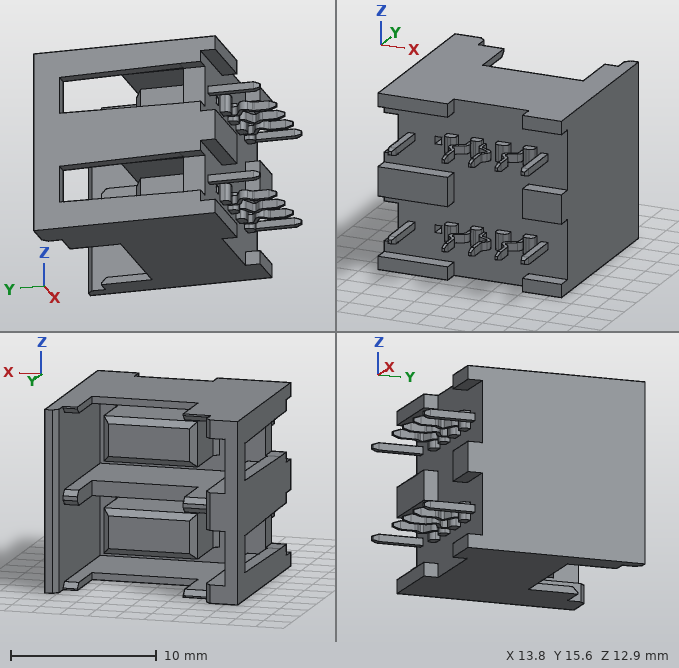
import cadquery as cq


WIDTH = 13.8
DEPTH = 13.0
HEIGHT = 12.9
ROW_PITCH = 6.48
ROW_ZS = [HEIGHT / 2 - ROW_PITCH / 2, HEIGHT / 2 + ROW_PITCH / 2]

FOOT_HEIGHT = 1.05
OUTER_FOOT_SPAN = 0.98
MIDDLE_FOOT_SPAN = 2.15
LEFT_FOOT_WIDTH = 5.25
RIGHT_FOOT_WIDTH = 2.93

BACK_WALL_Y = 2.59
SLAB_END_Y = 11.66
CAVITY_LEFT = 2.35
CAVITY_RIGHT = 12.88
SLAB_THICKNESS = 0.5
CAVITY_HEIGHT = 2 * (ROW_ZS[0] - SLAB_THICKNESS)
LEAD_IN = 0.38
NOTCH_LEFT = 4.29
NOTCH_RIGHT = 11.86
NOTCH_Y = 8.03

SIDE_WALL = 0.92
POCKET_HEIGHT = 3.82
WINDOW_END_Y = 11.15
WINDOW_HEIGHT = 2.9
WINDOW_END_HEIGHT = 2.6
WINDOW_MOUTH_DEPTH = 1.06

TONGUE_LEFT = 4.7
TONGUE_RIGHT = 11.4
TONGUE_HEIGHT = 3.2
TONGUE_END_Y = 7.17
TONGUE_CHAMFER = 0.45
TONGUE_BASE_CHAMFER = 0.36

TERMINAL_PITCH = 2.0
LEFT_PIN_X = 2.07
HOLE_X = LEFT_PIN_X + TERMINAL_PITCH
FIRST_CONTACT_X = HOLE_X + TERMINAL_PITCH
CONTACT_COUNT = 3
RIGHT_PIN_X = FIRST_CONTACT_X + CONTACT_COUNT * TERMINAL_PITCH
HOLE_WIDTH = 0.5
HOLE_HEIGHT = 0.55

TIP_Y = -2.6
EMBED = 0.5
PIN_SIZE = 0.52
PIN_TIP_SIZE = 0.27
PIN_TIP_LENGTH = 0.4
CONTACT_WIDTH = 0.6
CONTACT_THICKNESS = 0.26
CONTACT_ROOT_OFFSET = 0.5
CONTACT_BEND_OFFSET = 0.6
CONTACT_SHOULDER_Y = 0.25
CONTACT_BEND_Y = -0.29
CONTACT_KNEE_Y = -0.92
CONTACT_LEG_Y = -1.4
CONTACT_BEND_RADIUS = 0.27
CONTACT_TIP_LENGTH = 0.52
CONTACT_TIP_WIDTH = 0.25
CONTACT_TIP_THICKNESS = 0.2

BOSS_SPANS = [(4.74, 5.61), (6.68, 7.49), (8.56, 9.55), (10.64, 11.51)]
BOSS_LENGTH = 0.66
BOSS_HEIGHT = 1.26
BOSS_RADIUS = 0.32


def block(x0, x1, y0, y1, z0, z1):
    """Box between two opposite corners."""
    return cq.Workplane("XY").box(x1 - x0, y1 - y0, z1 - z0, centered=False).translate((x0, y0, z0))


def row_block(x0, x1, y0, y1, row_z, height):
    """Box centred on a row's height."""
    return block(x0, x1, y0, y1, row_z - height / 2, row_z + height / 2)


def plan_prism(points, z0, z1):
    """Outline in X and Y, extruded from z0 to z1."""
    return cq.Workplane("XY").workplane(offset=z0).polyline(points).close().extrude(z1 - z0)


def side_prism(points, x0, x1):
    """Outline in Y and Z, extruded from x0 to x1."""
    return cq.Workplane("YZ").workplane(offset=x0).polyline(points).close().extrude(x1 - x0)


def housing_blank():
    """Body with the feet left standing and the mouth cut back between the end walls."""
    body = block(0, WIDTH, FOOT_HEIGHT, DEPTH, 0, HEIGHT)
    foot_spans = [
        (0, OUTER_FOOT_SPAN),
        ((HEIGHT - MIDDLE_FOOT_SPAN) / 2, (HEIGHT + MIDDLE_FOOT_SPAN) / 2),
        (HEIGHT - OUTER_FOOT_SPAN, HEIGHT),
    ]
    for z0, z1 in foot_spans:
        body = body.union(block(0, LEFT_FOOT_WIDTH, 0, FOOT_HEIGHT, z0, z1))
        body = body.union(block(WIDTH - RIGHT_FOOT_WIDTH, WIDTH, 0, FOOT_HEIGHT, z0, z1))
    mouth = [
        (NOTCH_LEFT, NOTCH_Y),
        (NOTCH_RIGHT, NOTCH_Y),
        (NOTCH_RIGHT, SLAB_END_Y),
        (CAVITY_RIGHT, SLAB_END_Y),
        (CAVITY_RIGHT, DEPTH - LEAD_IN),
        (CAVITY_RIGHT + LEAD_IN, DEPTH),
        (CAVITY_LEFT - LEAD_IN, DEPTH),
        (CAVITY_LEFT, DEPTH - LEAD_IN),
        (CAVITY_LEFT, SLAB_END_Y),
        (NOTCH_LEFT, SLAB_END_Y),
    ]
    return body.cut(plan_prism(mouth, 0, HEIGHT))


def plug_cavity(row_z):
    """Space for the plug, flared above and below where the slabs end."""
    half = CAVITY_HEIGHT / 2
    outline = [
        (BACK_WALL_Y, row_z - half),
        (SLAB_END_Y - LEAD_IN, row_z - half),
        (SLAB_END_Y, row_z - half - LEAD_IN),
        (SLAB_END_Y, row_z + half + LEAD_IN),
        (SLAB_END_Y - LEAD_IN, row_z + half),
        (BACK_WALL_Y, row_z + half),
    ]
    return side_prism(outline, CAVITY_LEFT, CAVITY_RIGHT)


def side_window(row_z):
    """Tapered window through the left wall, its mouth, and the latch pocket behind it."""
    half = WINDOW_HEIGHT / 2
    end_half = WINDOW_END_HEIGHT / 2
    outline = [
        (BACK_WALL_Y, row_z - half),
        (WINDOW_END_Y, row_z - end_half),
        (WINDOW_END_Y, row_z + end_half),
        (BACK_WALL_Y, row_z + half),
    ]
    window = side_prism(outline, 0, SIDE_WALL)
    mouth = row_block(0, WINDOW_MOUTH_DEPTH, FOOT_HEIGHT, BACK_WALL_Y, row_z, WINDOW_HEIGHT)
    pocket = row_block(SIDE_WALL, CAVITY_LEFT, BACK_WALL_Y, DEPTH, row_z, POCKET_HEIGHT)
    return window.union(mouth).union(pocket)


def tongue(row_z):
    """Tongue with a chamfered tip, widening where it meets the back wall."""
    tip = row_block(TONGUE_LEFT, TONGUE_RIGHT, BACK_WALL_Y, TONGUE_END_Y, row_z, TONGUE_HEIGHT)
    tip = tip.faces(">Y").chamfer(TONGUE_CHAMFER)
    base_outline = [
        (TONGUE_LEFT - TONGUE_BASE_CHAMFER, BACK_WALL_Y),
        (TONGUE_RIGHT + TONGUE_BASE_CHAMFER, BACK_WALL_Y),
        (TONGUE_RIGHT, BACK_WALL_Y + TONGUE_BASE_CHAMFER),
        (TONGUE_LEFT, BACK_WALL_Y + TONGUE_BASE_CHAMFER),
    ]
    base = plan_prism(base_outline, row_z - TONGUE_HEIGHT / 2, row_z + TONGUE_HEIGHT / 2)
    return tip.union(base)


def terminal_hole(row_z):
    """Unfilled terminal hole through the back wall."""
    x0 = HOLE_X - HOLE_WIDTH / 2
    return row_block(x0, x0 + HOLE_WIDTH, FOOT_HEIGHT, BACK_WALL_Y, row_z, HOLE_HEIGHT)


def tapered_bar(x, row_z, section, tip_section, tip_length, root_y):
    """Straight bar along Y with a pyramid tip; sections are (X size, Z size)."""
    tip_start = TIP_Y + tip_length
    shank = cq.Workplane("XZ", origin=(x, root_y, row_z)).rect(*section).extrude(root_y - tip_start)
    tip = (
        cq.Workplane("XZ", origin=(x, tip_start, row_z))
        .rect(*section)
        .workplane(offset=tip_length)
        .rect(*tip_section)
        .loft()
    )
    return shank.union(tip)


def pin(x, row_z):
    """Square pin anchored in the back wall."""
    section = (PIN_SIZE, PIN_SIZE)
    tip_section = (PIN_TIP_SIZE, PIN_TIP_SIZE)
    return tapered_bar(x, row_z, section, tip_section, PIN_TIP_LENGTH, FOOT_HEIGHT + EMBED)


def contact(x, row_z, side):
    """Flat contact bent into a kink; side is +1 with the root to the right, -1 to the left."""
    root_x = x + side * CONTACT_ROOT_OFFSET
    root_y = FOOT_HEIGHT + EMBED
    section = (CONTACT_THICKNESS, CONTACT_WIDTH)
    corners = [
        (root_x, root_y),
        (root_x, CONTACT_SHOULDER_Y),
        (x - side * CONTACT_BEND_OFFSET, CONTACT_BEND_Y),
        (x, CONTACT_KNEE_Y),
        (x, CONTACT_LEG_Y),
    ]
    points = [cq.Vector(corner_x, corner_y, row_z) for corner_x, corner_y in corners]
    path = cq.Wire.makePolygon(points).fillet(CONTACT_BEND_RADIUS)
    kink = (
        cq.Workplane("XZ", origin=(root_x, root_y, row_z))
        .rect(*section)
        .sweep(cq.Workplane("XY").add(path))
    )
    tip_section = (CONTACT_TIP_THICKNESS, CONTACT_TIP_WIDTH)
    return kink.union(tapered_bar(x, row_z, section, tip_section, CONTACT_TIP_LENGTH, CONTACT_LEG_Y))


def boss(x0, x1, row_z):
    """Standoff boss with rounded front corners."""
    body = row_block(x0, x1, FOOT_HEIGHT - BOSS_LENGTH, FOOT_HEIGHT, row_z, BOSS_HEIGHT)
    return body.edges("|Z and <Y").fillet(BOSS_RADIUS)


result = housing_blank()
for z in ROW_ZS:
    result = result.cut(plug_cavity(z)).cut(side_window(z)).cut(terminal_hole(z))
    result = result.union(tongue(z))
    for left, right in BOSS_SPANS:
        result = result.union(boss(left, right, z))
    for pin_x in (LEFT_PIN_X, RIGHT_PIN_X):
        result = result.union(pin(pin_x, z))
    for index in range(CONTACT_COUNT):
        root_side = 1 if index % 2 == 0 else -1
        result = result.union(contact(FIRST_CONTACT_X + index * TERMINAL_PITCH, z, root_side))